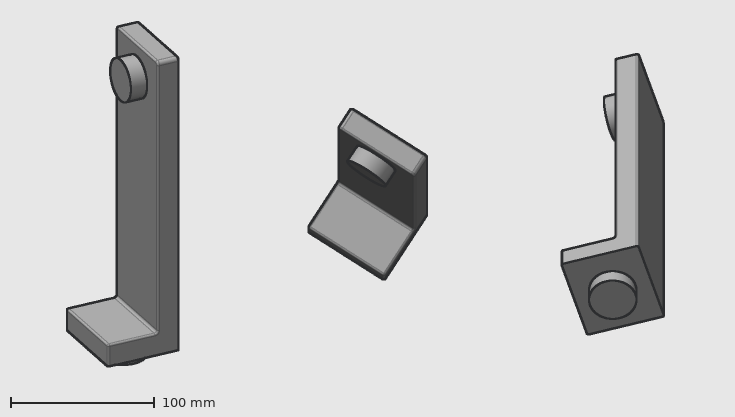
import cadquery as cq

width = 63.5
depth = 55.88
height = 228.6
thickness = 17.0
upright_front_y = depth - thickness

inner_corner_radius = 2.0
top_corner_radius = 3.0
edge_radius = 1.5

front_boss_diameter = 31.75
front_boss_length = 12.7
front_boss_drop = 25.4

total_height = 239.73
bottom_boss_diameter = 33.02
bottom_boss_length = total_height - height

boss_overlap = thickness / 2


def make_bracket():
    """L-shaped bracket: a tall upright at the back and a foot reaching forward."""
    bracket = (
        cq.Workplane("YZ")
        .moveTo(0, 0)
        .lineTo(depth, 0)
        .lineTo(depth, height)
        .lineTo(upright_front_y, height)
        .lineTo(upright_front_y, thickness)
        .lineTo(0, thickness)
        .close()
        .extrude(width / 2, both=True)
    )
    inner_corner = cq.selectors.NearestToPointSelector((0, upright_front_y, thickness))
    bracket = bracket.edges(inner_corner).fillet(inner_corner_radius)
    return bracket.faces(">Z").edges("|Y").fillet(top_corner_radius)


def round_outer_edges(bracket):
    """Round every outer edge of the bracket except those around the underside of the foot."""
    back_edges = bracket.faces(">Y").edges("not <Z")
    foot_tip_edges = bracket.faces("<Y").edges("not <Z")
    top_front_edge = bracket.faces(">Z").edges("<Y")
    return back_edges.add(foot_tip_edges).add(top_front_edge).fillet(edge_radius)


def make_front_boss():
    """Boss standing forward near the top of the upright."""
    return (
        cq.Workplane("XZ", origin=(0, upright_front_y + boss_overlap, height - front_boss_drop))
        .circle(front_boss_diameter / 2)
        .extrude(boss_overlap + front_boss_length)
    )


def make_bottom_boss():
    """Boss hanging below the middle of the foot."""
    return (
        cq.Workplane("XY", origin=(0, depth / 2, -bottom_boss_length))
        .circle(bottom_boss_diameter / 2)
        .extrude(bottom_boss_length + boss_overlap)
    )


bracket = round_outer_edges(make_bracket())
result = bracket.union(make_front_boss()).union(make_bottom_boss())